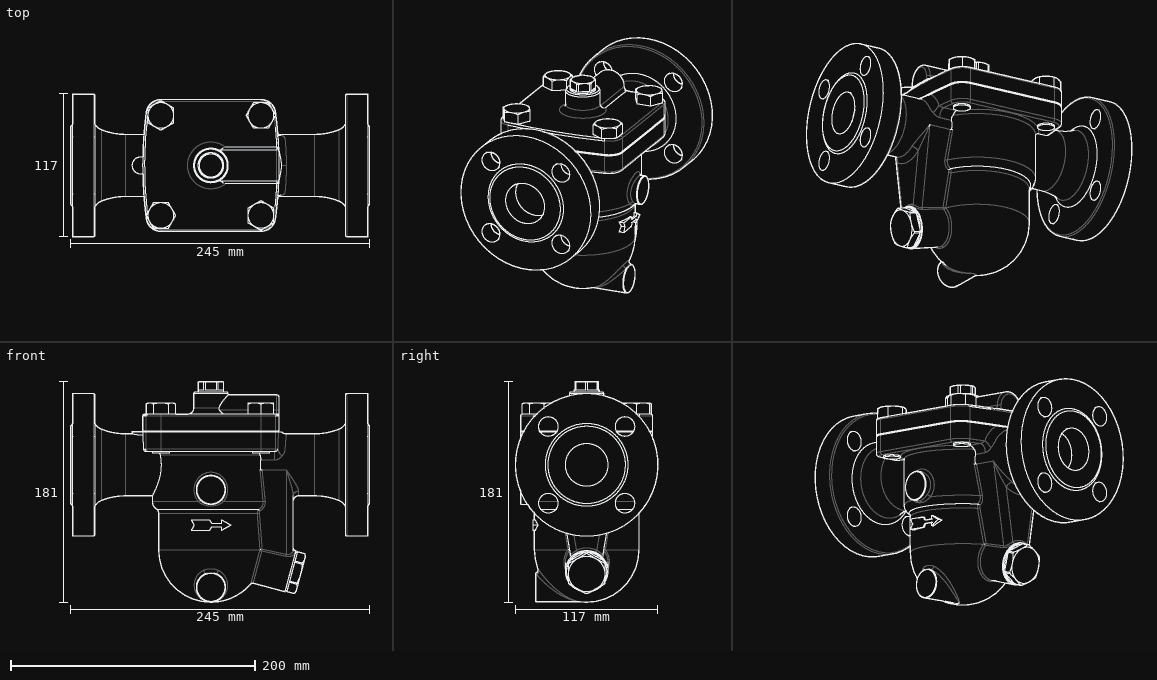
import cadquery as cq
import math

HALF_LENGTH = 122.5
RAISED_FACE_THICKNESS = 1.5
RAISED_FACE_RADIUS = 63.5 / 2
RAISED_FACE_BASE_RADIUS = 67.8 / 2
FLANGE_RADIUS = 117.0 / 2
FLANGE_BACK_X = 102.7
FLANGE_EDGE_RADIUS = 1.2
PIPE_RADIUS = 51.0 / 2
NECK_START_X = 77.5
NECK_END_X = 97.3
NECK_END_RADIUS = 29.3
NECK_ROOT_RADIUS = 34.0
BORE_RADIUS = 35.0 / 2
BORE_DEPTH = 20.0
FLANGE_HOLE_DIAMETER = 16.0
FLANGE_HOLE_OFFSET = 88.9 / 2 * math.sin(math.radians(45))

BODY_X = -7.6
UPPER_RADIUS = 48.0
LOWER_RADIUS = 43.0
DOME_CENTRE_Z = -69.7
UPPER_BOTTOM_Z = -30.2
STEP_Z = -36.6
STEP_RADIUS = 44.0
LOWER_TOP_Z = -40.0
STEP_CONCAVE_RADIUS = 6.0
UPPER_TOP_FILLET = 2.7

JOINT_BOTTOM_Z = 10.8
GASKET_Z = 27.1
GASKET_THICKNESS = 0.8
GASKET_INSET = 0.5
COVER_TOP_Z = 41.6
JOINT_HALF_DEPTH = 54.1
JOINT_HALF_WIDTH = 55.9
JOINT_CORNER_RADIUS = 12.2
JOINT_CORNER_X = 41.0
COVER_EDGE_RADIUS = 1.6
JOINT_EDGE_RADIUS = 2.2

BOLT_OFFSET = 41.0
BOLT_FLATS = 21.0
BOLT_HEAD_HEIGHT = 9.2
BOLT_SHANK_DIAMETER = 14.0
BOLT_PROTRUSION = 1.2

HEX_STEP = 60.0
HEX_FLAT_TO_CORNER = math.cos(math.radians(HEX_STEP / 2))
HEX_CHAMFER_ANGLE = 30.0

TOP_BOSS_RADIUS = 14.2
TOP_BOSS_TOP_Z = 59.9
TOP_BOSS_CHAMFER_WIDTH = 0.8
TOP_BOSS_CHAMFER_HEIGHT = 1.6
TOP_BOSS_ROOT_FILLET = 5.0
TOP_PLUG_FLATS = 19.0
TOP_PLUG_DIAMETER = 21.0
TOP_PLUG_COLLAR = 1.3
TOP_PLUG_TOP_Z = 68.3
PASSAGE_RADIUS = 12.7
PASSAGE_CENTRE_Z = 44.8
PASSAGE_ROOT_WIDTH = 2.3
PASSAGE_END_FILLET = 2.2

FRONT_BOSS_RADIUS = 12.0
FRONT_BOSS_EDGE = 0.5
UPPER_BOSS_Z = -20.5
UPPER_BOSS_FACE_Y = -54.2
UPPER_BOSS_FILLET = 2.5
LOWER_BOSS_RISE = 0.3
LOWER_BOSS_Z = DOME_CENTRE_Z - LOWER_RADIUS + FRONT_BOSS_RADIUS + LOWER_BOSS_RISE
LOWER_BOSS_FACE_Y = -41.9
LOWER_BOSS_FILLET = 2.5

STRAINER_ANGLE = 15.0
STRAINER_RADIUS = 35.0 / 2
STRAINER_END = 67.5
STRAINER_COLLAR_RADIUS = 16.5
STRAINER_PLUG_START = 69.0
STRAINER_PLUG_END = 76.3
STRAINER_PLUG_FLATS = 30.0
STRAINER_PLUG_DIAMETER = 34.0

RIB_END_X = 59.8
RIB_TAPER_ANGLE = 9.7
RIB_CORNER_RADIUS = 5.5
RIB_BOTTOM_OFFSET = 10.0
RIB_PIPE_FILLET = 4.5
RIB_ROOT_FILLET = 2.0

EDGE_MARGIN = 1.0
BOWL_ROOT_INNER = 32.0
BOWL_ROOT_OUTER = 43.6
RIB_ROOT_TOP_Z = -6.0
RIB_FOOT_HIGH_Z = -69.0
RIB_FOOT_LOW_Z = -76.0

OUTLET_FILLET = 6.0

PAD_RADIUS = 7.0
PAD_X = -65.1
PAD_TOP_Z = 27.3

ARROW_FACE_Y = -44.1
ARROW_CENTRE_Z = -49.4
ARROW_TAIL_X = -23.6
ARROW_NOTCH_X = -21.3
ARROW_TAIL_END_X = -8.7
ARROW_SHAFT_X = -6.9
ARROW_HEAD_X = 1.2
ARROW_TIP_X = 8.7
ARROW_HALF_HEIGHT = 4.3
ARROW_SHAFT_HALF_HEIGHT = 1.4


def cylinder(radius, origin, direction, length):
    return cq.Workplane(cq.Solid.makeCylinder(radius, length, cq.Vector(*origin), cq.Vector(*direction)))


def hexagon_head(flats, height, cut_diameter, chamfer_diameter, vertex_angle):
    """Hexagonal prism on Z = 0, turned down to cut_diameter and chamfered on top by a cone."""
    corner_radius = flats / 2 / HEX_FLAT_TO_CORNER
    angles = [math.radians(vertex_angle + HEX_STEP * i) for i in range(6)]
    corners = [(corner_radius * math.cos(a), corner_radius * math.sin(a)) for a in angles]
    prism = cq.Workplane("XY").polyline(corners).close().extrude(height)
    outer = cut_diameter / 2
    inner = chamfer_diameter / 2
    drop = (outer - inner) * math.tan(math.radians(HEX_CHAMFER_ANGLE))
    envelope = (
        cq.Workplane("XZ")
        .moveTo(0, 0)
        .lineTo(outer, 0)
        .lineTo(outer, height - drop)
        .lineTo(inner, height)
        .lineTo(0, height)
        .close()
        .revolve(360, (0, 0, 0), (0, 1, 0))
    )
    return prism.intersect(envelope)


def end_pipe():
    """Outlet pipe, neck and flange, from the body axis to +X."""
    face_x = HALF_LENGTH - RAISED_FACE_THICKNESS
    pipe = (
        cq.Workplane("XZ")
        .moveTo(0, 0)
        .lineTo(0, PIPE_RADIUS)
        .lineTo(NECK_START_X, PIPE_RADIUS)
        .tangentArcPoint((NECK_END_X, NECK_END_RADIUS), relative=False)
        .tangentArcPoint((FLANGE_BACK_X, NECK_ROOT_RADIUS), relative=False)
        .lineTo(FLANGE_BACK_X, FLANGE_RADIUS - FLANGE_EDGE_RADIUS)
        .radiusArc((FLANGE_BACK_X + FLANGE_EDGE_RADIUS, FLANGE_RADIUS), FLANGE_EDGE_RADIUS)
        .lineTo(face_x, FLANGE_RADIUS)
        .lineTo(face_x, RAISED_FACE_BASE_RADIUS)
        .lineTo(HALF_LENGTH, RAISED_FACE_RADIUS)
        .lineTo(HALF_LENGTH, 0)
        .close()
        .revolve(360, (0, 0, 0), (1, 0, 0))
    )
    hole_span = 2 * FLANGE_HOLE_OFFSET
    holes = (
        cq.Workplane("YZ", origin=(FLANGE_BACK_X, 0, 0))
        .rect(hole_span, hole_span, forConstruction=True)
        .vertices()
        .circle(FLANGE_HOLE_DIAMETER / 2)
        .extrude(HALF_LENGTH - FLANGE_BACK_X)
    )
    bore = cylinder(BORE_RADIUS, (HALF_LENGTH - BORE_DEPTH, 0, 0), (1, 0, 0), BORE_DEPTH)
    return pipe.cut(holes).cut(bore)


def bowl():
    dome_half = LOWER_RADIUS * math.sin(math.radians(45))
    return (
        cq.Workplane("XZ", origin=(BODY_X, 0, 0))
        .moveTo(0, JOINT_BOTTOM_Z)
        .lineTo(UPPER_RADIUS + UPPER_TOP_FILLET, JOINT_BOTTOM_Z)
        .radiusArc((UPPER_RADIUS, JOINT_BOTTOM_Z - UPPER_TOP_FILLET), -UPPER_TOP_FILLET)
        .lineTo(UPPER_RADIUS, UPPER_BOTTOM_Z)
        .tangentArcPoint((STEP_RADIUS, STEP_Z), relative=False)
        .radiusArc((LOWER_RADIUS, LOWER_TOP_Z), -STEP_CONCAVE_RADIUS)
        .lineTo(LOWER_RADIUS, DOME_CENTRE_Z)
        .threePointArc((dome_half, DOME_CENTRE_Z - dome_half), (0, DOME_CENTRE_Z - LOWER_RADIUS))
        .close()
        .revolve(360, (0, 0, 0), (0, 1, 0))
    )


def joint_plate(bottom_z, top_z, inset=0.0):
    """Plate with straight front and back, bulging sides and round corners."""
    depth = JOINT_HALF_DEPTH - inset
    width = JOINT_HALF_WIDTH - inset
    radius = JOINT_CORNER_RADIUS - inset
    corner_y = depth - radius
    reach = width - radius
    side_centre = (reach**2 - JOINT_CORNER_X**2 - corner_y**2) / (2 * (reach - JOINT_CORNER_X))
    lean = math.atan2(corner_y, JOINT_CORNER_X - side_centre)
    join = (JOINT_CORNER_X + radius * math.cos(lean), corner_y + radius * math.sin(lean))
    middle_angle = (lean + math.pi / 2) / 2
    middle = (
        JOINT_CORNER_X + radius * math.cos(middle_angle),
        corner_y + radius * math.sin(middle_angle),
    )
    return (
        cq.Workplane("XY", origin=(BODY_X, 0, bottom_z))
        .moveTo(-JOINT_CORNER_X, -depth)
        .lineTo(JOINT_CORNER_X, -depth)
        .threePointArc((middle[0], -middle[1]), (join[0], -join[1]))
        .threePointArc((width, 0), join)
        .threePointArc(middle, (JOINT_CORNER_X, depth))
        .lineTo(-JOINT_CORNER_X, depth)
        .threePointArc((-middle[0], middle[1]), (-join[0], join[1]))
        .threePointArc((-width, 0), (-join[0], -join[1]))
        .threePointArc((-middle[0], -middle[1]), (-JOINT_CORNER_X, -depth))
        .close()
        .extrude(top_z - bottom_z)
    )


def rib():
    """Rib with both flanks tangent to the pipe, ending above the strainer axis."""
    taper = math.radians(RIB_TAPER_ANGLE)
    tangent_y = PIPE_RADIUS * math.cos(taper)
    tangent_z = -PIPE_RADIUS * math.sin(taper)
    foot_z = DOME_CENTRE_Z - UPPER_RADIUS
    foot_y = tangent_y - (tangent_z - foot_z) * math.tan(taper)
    wedge = (
        cq.Workplane("YZ", origin=(BODY_X, 0, 0))
        .polyline([(-tangent_y, tangent_z), (tangent_y, tangent_z), (foot_y, foot_z), (-foot_y, foot_z)])
        .close()
        .extrude(RIB_END_X - BODY_X)
    )
    wedge = wedge.faces(">X").edges("not |Y").fillet(RIB_CORNER_RADIUS)
    slope = math.tan(math.radians(STRAINER_ANGLE))
    start_z = DOME_CENTRE_Z + RIB_BOTTOM_OFFSET / math.cos(math.radians(STRAINER_ANGLE))
    end_z = start_z - (RIB_END_X - BODY_X) * slope
    above_strainer = (
        cq.Workplane("XZ")
        .polyline([(BODY_X, start_z), (RIB_END_X, end_z), (RIB_END_X, 0), (BODY_X, 0)])
        .close()
        .extrude(PIPE_RADIUS, both=True)
    )
    return wedge.intersect(above_strainer)


def edges_centred_in(x_range, y_range, z_range):
    """Selector of the edges whose centres lie in a box."""
    low, high = zip(x_range, y_range, z_range)
    return cq.selectors.BoxSelector(low, high)


def along_strainer(shape):
    """Place a shape built on +Z onto the strainer axis, starting at the dome centre."""
    return shape.rotate((0, 0, 0), (0, 1, 0), 90 + STRAINER_ANGLE).translate((BODY_X, 0, DOME_CENTRE_Z))


def strainer_boss():
    return along_strainer(cq.Workplane("XY").circle(STRAINER_RADIUS).extrude(STRAINER_END))


def strainer_plug():
    collar = cq.Workplane("XY").circle(STRAINER_COLLAR_RADIUS).extrude(STRAINER_PLUG_START)
    head = hexagon_head(
        STRAINER_PLUG_FLATS,
        STRAINER_PLUG_END - STRAINER_PLUG_START,
        STRAINER_PLUG_DIAMETER,
        STRAINER_PLUG_FLATS,
        0,
    )
    return along_strainer(collar.union(head.translate((0, 0, STRAINER_PLUG_START))))


def add_front_boss(part, z, face_y, root_fillet):
    """Add a round boss pointing to -Y and fillet the curve where it leaves the bowl."""
    boss = cylinder(FRONT_BOSS_RADIUS, (BODY_X, 0, z), (0, -1, 0), -face_y)
    boss = boss.faces("<Y").chamfer(FRONT_BOSS_EDGE)
    reach = FRONT_BOSS_RADIUS + EDGE_MARGIN
    root = edges_centred_in(
        (BODY_X - reach, BODY_X + reach),
        (face_y + 2 * FRONT_BOSS_EDGE, 0),
        (z - reach, z + reach),
    )
    return part.union(boss).edges(root).edges("%BSPLINE").fillet(root_fillet)


def top_boss():
    chamfer_z = TOP_BOSS_TOP_Z - TOP_BOSS_CHAMFER_HEIGHT
    return (
        cq.Workplane("XZ", origin=(BODY_X, 0, 0))
        .moveTo(0, COVER_TOP_Z)
        .lineTo(TOP_BOSS_RADIUS + TOP_BOSS_ROOT_FILLET, COVER_TOP_Z)
        .radiusArc((TOP_BOSS_RADIUS, COVER_TOP_Z + TOP_BOSS_ROOT_FILLET), TOP_BOSS_ROOT_FILLET)
        .lineTo(TOP_BOSS_RADIUS, chamfer_z)
        .lineTo(TOP_BOSS_RADIUS - TOP_BOSS_CHAMFER_WIDTH, TOP_BOSS_TOP_Z)
        .lineTo(0, TOP_BOSS_TOP_Z)
        .close()
        .revolve(360, (0, 0, 0), (0, 1, 0))
    )


def top_plug():
    collar = cq.Workplane("XY").circle(TOP_PLUG_DIAMETER / 2).extrude(TOP_PLUG_COLLAR)
    head_height = TOP_PLUG_TOP_Z - TOP_BOSS_TOP_Z - TOP_PLUG_COLLAR
    head = hexagon_head(TOP_PLUG_FLATS, head_height, TOP_PLUG_DIAMETER, TOP_PLUG_FLATS, 0)
    plug = collar.union(head.translate((0, 0, TOP_PLUG_COLLAR)))
    return plug.translate((BODY_X, 0, TOP_BOSS_TOP_Z))


def passage():
    """Half-round passage on the cover, with flared roots."""
    root = PASSAGE_RADIUS + PASSAGE_ROOT_WIDTH
    root_radius = PASSAGE_CENTRE_Z - COVER_TOP_Z
    bar = (
        cq.Workplane("YZ", origin=(BODY_X, 0, 0))
        .moveTo(-root, COVER_TOP_Z)
        .lineTo(root, COVER_TOP_Z)
        .radiusArc((PASSAGE_RADIUS, PASSAGE_CENTRE_Z), root_radius)
        .threePointArc((0, PASSAGE_CENTRE_Z + PASSAGE_RADIUS), (-PASSAGE_RADIUS, PASSAGE_CENTRE_Z))
        .radiusArc((-root, COVER_TOP_Z), root_radius)
        .close()
        .extrude(JOINT_HALF_WIDTH)
    )
    end_arc = bar.faces(">X").edges(">Z")
    return end_arc.fillet(PASSAGE_END_FILLET)


def cover_bolts():
    bolts = cq.Workplane("XY")
    shank_length = COVER_TOP_Z - JOINT_BOTTOM_Z + BOLT_PROTRUSION
    corner_diameter = BOLT_FLATS / HEX_FLAT_TO_CORNER
    for side_x in (-1, 1):
        for side_y in (-1, 1):
            vertex_angle = 0 if side_x * side_y > 0 else HEX_STEP / 2
            head = hexagon_head(BOLT_FLATS, BOLT_HEAD_HEIGHT, corner_diameter, BOLT_FLATS, vertex_angle)
            shank = cq.Workplane("XY").circle(BOLT_SHANK_DIAMETER / 2).extrude(-shank_length)
            place = (BODY_X + side_x * BOLT_OFFSET, side_y * BOLT_OFFSET, COVER_TOP_Z)
            bolts = bolts.union(head.union(shank).translate(place))
    return bolts


def flow_arrow():
    upper = [
        (ARROW_NOTCH_X, 0),
        (ARROW_TAIL_X, ARROW_HALF_HEIGHT),
        (ARROW_TAIL_END_X, ARROW_HALF_HEIGHT),
        (ARROW_SHAFT_X, ARROW_SHAFT_HALF_HEIGHT),
        (ARROW_HEAD_X, ARROW_SHAFT_HALF_HEIGHT),
        (ARROW_HEAD_X, ARROW_HALF_HEIGHT),
        (ARROW_TIP_X, 0),
    ]
    lower = [(x, -z) for x, z in reversed(upper[1:-1])]
    return (
        cq.Workplane("XZ", origin=(0, 0, ARROW_CENTRE_Z))
        .polyline(upper + lower)
        .close()
        .extrude(-ARROW_FACE_Y)
    )


def lower_body():
    """Bowl with its front bosses, rib and strainer boss, blended together."""
    body = add_front_boss(bowl(), UPPER_BOSS_Z, UPPER_BOSS_FACE_Y, UPPER_BOSS_FILLET)
    body = add_front_boss(body, LOWER_BOSS_Z, LOWER_BOSS_FACE_Y, LOWER_BOSS_FILLET)
    body = body.union(rib().union(strainer_boss()))
    bowl_roots = edges_centred_in(
        (BODY_X + BOWL_ROOT_INNER, BODY_X + BOWL_ROOT_OUTER),
        (-PIPE_RADIUS, PIPE_RADIUS),
        (DOME_CENTRE_Z - LOWER_RADIUS, RIB_ROOT_TOP_Z),
    )
    strainer_roots = edges_centred_in(
        (BODY_X + BOWL_ROOT_OUTER, RIB_END_X + EDGE_MARGIN),
        (-STRAINER_RADIUS, STRAINER_RADIUS),
        (RIB_FOOT_LOW_Z, RIB_FOOT_HIGH_Z),
    )
    return body.edges(bowl_roots + strainer_roots).fillet(RIB_ROOT_FILLET)


def outlet_side():
    """Outlet pipe with the body half of the joint, blended where the pipe leaves it."""
    plate = joint_plate(JOINT_BOTTOM_Z, COVER_TOP_Z).faces("<Z").edges().fillet(JOINT_EDGE_RADIUS)
    roots = edges_centred_in(
        (EDGE_MARGIN, BODY_X + JOINT_HALF_WIDTH + EDGE_MARGIN),
        (-PIPE_RADIUS, PIPE_RADIUS),
        (JOINT_BOTTOM_Z - EDGE_MARGIN, GASKET_Z),
    )
    blended = plate.union(end_pipe()).edges(roots).fillet(OUTLET_FILLET)
    height = COVER_TOP_Z - GASKET_Z
    above_gasket = (
        cq.Workplane("XY", origin=(BODY_X, 0, GASKET_Z))
        .rect(2 * JOINT_HALF_WIDTH + 4 * OUTLET_FILLET, 4 * JOINT_HALF_DEPTH)
        .extrude(height)
    )
    return blended.cut(above_gasket)


def cover():
    plate = joint_plate(GASKET_Z + GASKET_THICKNESS, COVER_TOP_Z)
    plate = plate.faces(">Z").edges().fillet(COVER_EDGE_RADIUS)
    gasket = joint_plate(GASKET_Z, GASKET_Z + GASKET_THICKNESS, GASKET_INSET)
    return plate.union(gasket).union(passage()).union(top_boss()).union(top_plug())


result = lower_body().union(outlet_side())
rib_to_pipe = edges_centred_in(
    (RIB_END_X - RIB_CORNER_RADIUS + EDGE_MARGIN, RIB_END_X + EDGE_MARGIN),
    (-PIPE_RADIUS, PIPE_RADIUS),
    (-PIPE_RADIUS - EDGE_MARGIN, RIB_ROOT_TOP_Z),
)
result = result.edges(rib_to_pipe).fillet(RIB_PIPE_FILLET)
result = result.union(end_pipe().mirror("YZ")).union(cover()).union(cover_bolts()).union(strainer_plug())
result = result.union(cylinder(PAD_RADIUS, (PAD_X, 0, 0), (0, 0, 1), PAD_TOP_Z)).union(flow_arrow())